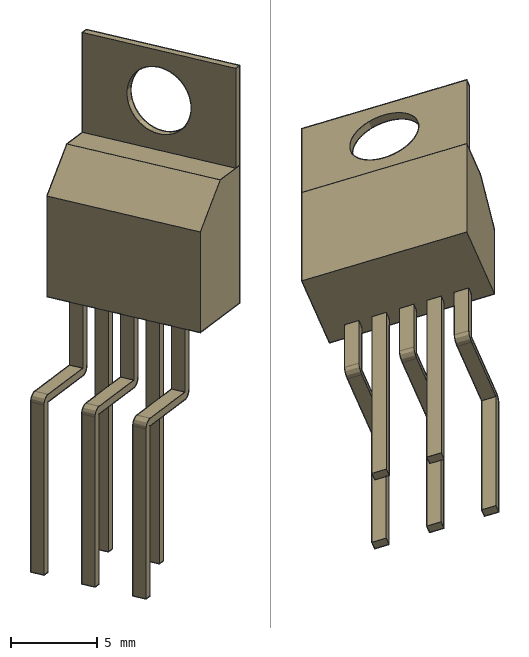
import cadquery as cq

WIDTH = 10.17
TOTAL_DEPTH = 8.88
TOTAL_HEIGHT = 30.72

HOUSING_BOTTOM = 15.58
HOUSING_TOP = 24.35
HOUSING_DEPTH = 4.7
HOUSING_CHAMFER = 2.37

TAB_THICKNESS = 0.5
TAB_HEIGHT = TOTAL_HEIGHT - HOUSING_TOP
HOLE_DIAMETER = 4.25
HOLE_HEIGHT = 27.53

LEAD_COUNT = 5
LEAD_PITCH = 1.7
LEAD_WIDTH = 0.9
LEAD_THICKNESS = 0.5
LEAD_BACK = 3.78
LEAD_FRONT = LEAD_BACK + LEAD_THICKNESS
STEP_TOP = 11.35
STEP_BOTTOM = STEP_TOP - LEAD_THICKNESS
BEND_RADIUS = LEAD_THICKNESS


def extrude_profile(profile, width, center_x):
    """Extrude a closed YZ profile to a width centred on center_x."""
    return profile.extrude(width / 2, both=True).translate((center_x, 0, 0))


def make_housing():
    """Block with its top front edge chamfered."""
    profile = (
        cq.Workplane("YZ")
        .moveTo(0, HOUSING_BOTTOM)
        .lineTo(0, HOUSING_TOP)
        .lineTo(-HOUSING_DEPTH + HOUSING_CHAMFER, HOUSING_TOP)
        .lineTo(-HOUSING_DEPTH, HOUSING_TOP - HOUSING_CHAMFER)
        .lineTo(-HOUSING_DEPTH, HOUSING_BOTTOM)
        .close()
    )
    return extrude_profile(profile, WIDTH, 0)


def make_tab():
    """Flat plate with a round mounting hole through it."""
    plate = (
        cq.Workplane("XY", origin=(0, -TAB_THICKNESS / 2, HOUSING_TOP))
        .box(WIDTH, TAB_THICKNESS, TAB_HEIGHT, centered=(True, True, False))
    )
    hole = (
        cq.Workplane("XZ", origin=(0, 0, HOLE_HEIGHT))
        .circle(HOLE_DIAMETER / 2)
        .extrude(TAB_THICKNESS)
    )
    return plate.cut(hole)


def make_straight_lead(center_x):
    """Lead that drops straight from the underside of the housing."""
    profile = (
        cq.Workplane("YZ")
        .moveTo(-LEAD_BACK, 0)
        .lineTo(-LEAD_BACK, HOUSING_BOTTOM)
        .lineTo(-LEAD_FRONT, HOUSING_BOTTOM)
        .lineTo(-LEAD_FRONT, 0)
        .close()
    )
    return extrude_profile(profile, LEAD_WIDTH, center_x)


def make_bent_lead(center_x):
    """Lead that drops from the housing, steps forward and drops again."""
    profile = (
        cq.Workplane("YZ")
        .moveTo(-LEAD_BACK, HOUSING_BOTTOM)
        .lineTo(-LEAD_BACK, STEP_BOTTOM + BEND_RADIUS)
        .radiusArc((-LEAD_BACK - BEND_RADIUS, STEP_BOTTOM), BEND_RADIUS)
        .lineTo(-TOTAL_DEPTH + LEAD_THICKNESS, STEP_BOTTOM)
        .lineTo(-TOTAL_DEPTH + LEAD_THICKNESS, 0)
        .lineTo(-TOTAL_DEPTH, 0)
        .lineTo(-TOTAL_DEPTH, STEP_TOP - BEND_RADIUS)
        .radiusArc((-TOTAL_DEPTH + BEND_RADIUS, STEP_TOP), BEND_RADIUS)
        .lineTo(-LEAD_FRONT, STEP_TOP)
        .lineTo(-LEAD_FRONT, HOUSING_BOTTOM)
        .close()
    )
    return extrude_profile(profile, LEAD_WIDTH, center_x)


def make_leads():
    """Row of leads, bent and straight in turn, starting and ending with a bent one."""
    leads = []
    for index in range(LEAD_COUNT):
        center_x = (index - (LEAD_COUNT - 1) / 2) * LEAD_PITCH
        make_lead = make_bent_lead if index % 2 == 0 else make_straight_lead
        leads.append(make_lead(center_x).val())
    return leads


housing = make_housing()
tab = make_tab()
leads = make_leads()

result = cq.Compound.makeCompound([housing.val(), tab.val(), *leads])